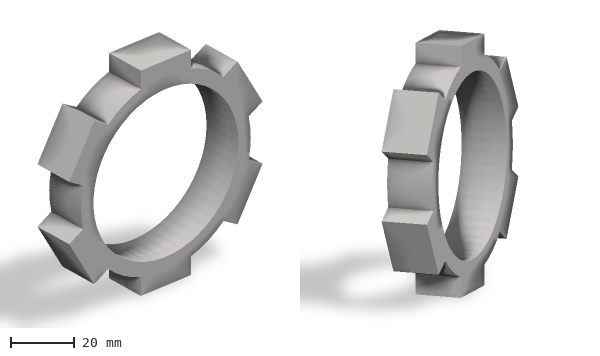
import cadquery as cq

thickness = 15.2
tip_to_tip = 80.5
bore_diameter = 60.0
ring_diameter = 70.3

tooth_count = 6
tooth_width = 20.8

tip_radius = tip_to_tip / 2
tooth_root_radius = bore_diameter / 2
tooth_height = tip_radius - tooth_root_radius


def make_disc(diameter):
    return cq.Workplane("YZ").circle(diameter / 2).extrude(thickness / 2, both=True)


def make_tooth(angle):
    """Block standing at the +Z side, turned about the ring axis."""
    tooth = cq.Workplane("XY").box(thickness, tooth_width, tooth_height)
    tooth = tooth.translate((0, 0, tooth_root_radius + tooth_height / 2))
    return tooth.rotate((0, 0, 0), (1, 0, 0), angle)


body = make_disc(ring_diameter)
for index in range(tooth_count):
    body = body.union(make_tooth(index * 360 / tooth_count))

result = body.cut(make_disc(bore_diameter))